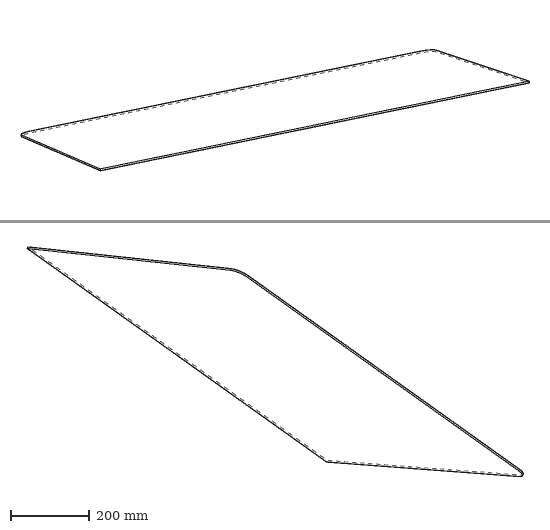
import cadquery as cq

long_edge = 1152.94
edge_taper = 40.5
slope_length = 809.62
thickness = 5.0
corner_radius = 35.0

tilt = 31.7178

short_edge = long_edge - edge_taper


def flat_panel():
    """Panel lying on the XY plane, with its lower edge on the Y axis."""
    outline = [
        (0, 0),
        (slope_length, 0),
        (slope_length, long_edge),
        (0, short_edge),
    ]
    panel = cq.Workplane("XY").polyline(outline).close().extrude(thickness)
    return panel.edges("|Z").edges("<X").fillet(corner_radius)


def raise_upper_edge(panel):
    """Tilt the panel about the Y axis so that its +X edge comes up."""
    return panel.rotate((0, 0, 0), (0, 1, 0), -tilt)


result = raise_upper_edge(flat_panel())